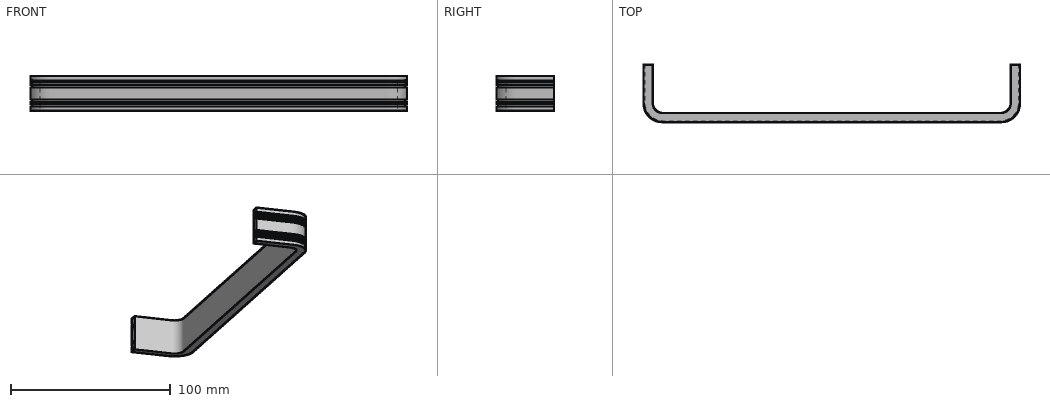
import cadquery as cq

length = 236.0
depth = 36.0
height = 22.0

thickness = 6.0
outer_radius = 12.0

groove_width = 1.5
groove_depth = 1.0
first_groove_offset = 2.8
groove_pitch = 2.8
grooves_per_edge = 2


def bent_block(inset, block_height):
    """Solid inset from the outer face, with rounded front corners and an open-side back."""
    return (
        cq.Workplane("XY")
        .box(length - 2 * inset, depth - inset, block_height)
        .translate((0, inset / 2, 0))
        .edges("|Z and <Y")
        .fillet(outer_radius - inset)
    )


def bent_strip(strip_thickness, strip_height):
    """U-shaped strip that follows the outer face of the handle."""
    return bent_block(0, strip_height).cut(bent_block(strip_thickness, strip_height))


handle = bent_strip(thickness, height)

groove = bent_strip(groove_depth, groove_width)
for index in range(grooves_per_edge):
    groove_z = height / 2 - first_groove_offset - groove_width / 2 - index * groove_pitch
    for side in (-1, 1):
        handle = handle.cut(groove.translate((0, 0, side * groove_z)))

result = handle